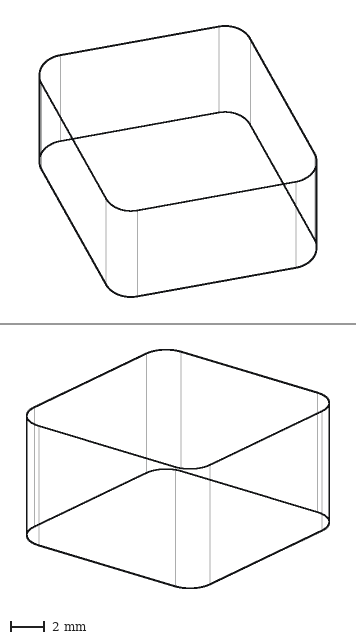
import cadquery as cq

length = 14.53
width = 12.7
thickness = 7.93
corner_radius = 1.6

centre_length = length - 2 * corner_radius
centre_width = width - 2 * corner_radius
lean = (centre_length**2 - centre_width**2) / (2 * centre_length)

half_length = centre_length / 2
half_width = centre_width / 2
corner_centres = [
    (-half_length, -half_width),
    (half_length - lean, -half_width),
    (half_length, half_width),
    (-half_length + lean, half_width),
]

result = (
    cq.Workplane("XY")
    .polyline(corner_centres)
    .close()
    .offset2D(corner_radius, "arc")
    .extrude(thickness)
)